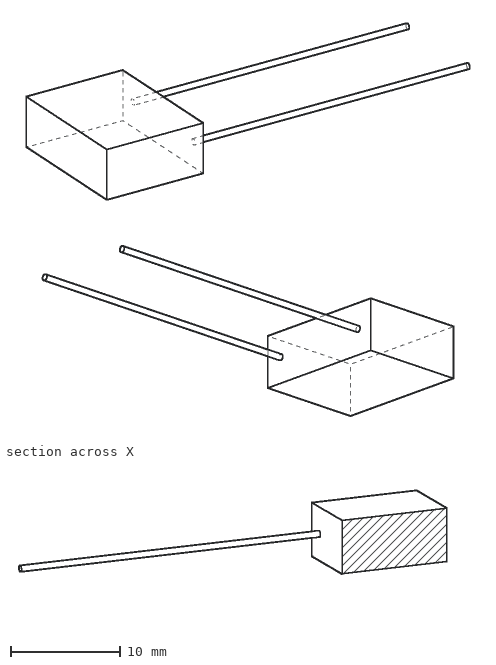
import cadquery as cq

total_length = 40.5
body_width = 13.6
body_depth = 10.53
body_height = 5.1
lead_diameter = 0.6
lead_spacing = 10.2

lead_length = total_length - body_depth


def make_body():
    """Rectangular block centred on X and Z, with its front face at Y = 0."""
    return cq.Workplane("XY").box(
        body_width, body_depth, body_height, centered=(True, False, True)
    )


def add_leads(body):
    """Two straight round leads rising from the centre line of the back face."""
    return (
        body.faces(">Y")
        .workplane(centerOption="CenterOfMass")
        .pushPoints([(-lead_spacing / 2, 0), (lead_spacing / 2, 0)])
        .circle(lead_diameter / 2)
        .extrude(lead_length)
    )


result = add_leads(make_body())